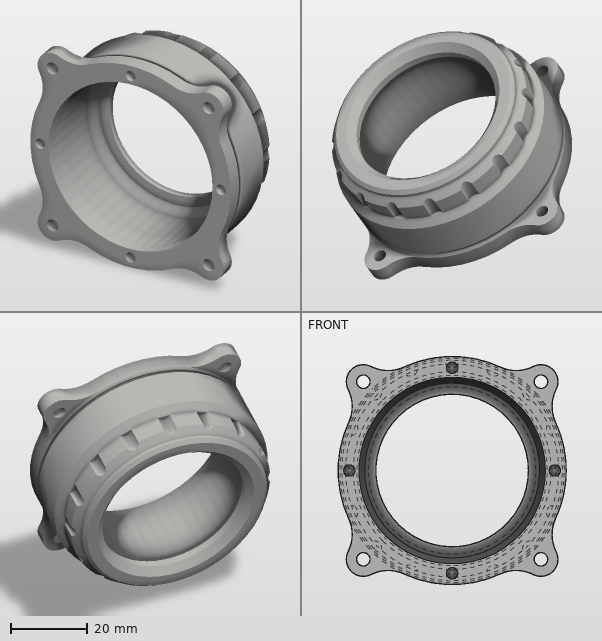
import cadquery as cq
import math

flange_thickness = 4.5
edge_bevel = 0.5
groove_front = flange_thickness + edge_bevel
groove_back = 6.0
barrel_front = groove_back + edge_bevel
barrel_back = 18.0
grip_front = 20.0
grip_back = 25.0
rim_front = 27.0
rim_back = 28.0
total_length = 29.0

barrel_radius = 30.0
groove_radius = 58.0 / 2
grip_radius = 28.0
rim_radius = 52.0 / 2
rim_end_radius = 25.0

bore_radius = 49.0 / 2
taper_end_radius = 23.0
throat_radius = 40.0 / 2
taper_start = 21.5
shoulder = 25.0
flare_start = rim_front
flare_size = total_length - flare_start

lobe_count = 4
lobe_circle_radius = 33.0
lobe_radius = 4.5
blend_radius = 10.0
lobe_hole_radius = 3.5 / 2
pin_hole_radius = 3.0 / 2
pin_circle_radius = 27.0
pin_hole_depth = 6.0

flute_count = 16
flute_radius = 2.0
flute_circle_radius = 29.0


def polar(radius, angle):
    """Point in the flange plane at an angle in radians from +X."""
    return (radius * math.cos(angle), radius * math.sin(angle))


def point_toward(start, end, distance):
    """Point at a distance from start on the line to end."""
    ratio = distance / math.dist(start, end)
    return (start[0] + ratio * (end[0] - start[0]), start[1] + ratio * (end[1] - start[1]))


def extrude_back(sketch, start, end):
    """Extrude an XZ-plane sketch, drawn at Y = 0, between two Y stations."""
    return sketch.extrude(start - end).translate((0, start, 0))


def cylinder_ring(count, ring_radius, first_angle, radius, start, end):
    """Equally spaced cylinders parallel to Y between two Y stations."""
    sketch = cq.Workplane("XZ").polarArray(ring_radius, first_angle, 360, count).circle(radius)
    return extrude_back(sketch, start, end)


def revolve_profile(points):
    """Revolve (radius, Y) points around the Y axis."""
    return cq.Workplane("XY").polyline(points).close().revolve(360, (0, 0, 0), (0, 1, 0))


def blend_arc(center, arc_start, arc_end):
    """Middle and end points of a blend arc that bulges toward the flange material."""
    chord_middle = ((arc_start[0] + arc_end[0]) / 2, (arc_start[1] + arc_end[1]) / 2)
    return point_toward(center, chord_middle, blend_radius), arc_end


def make_flange():
    """Round flange with four lobes, each joined to the disc by tangent blends."""
    blend_distance = barrel_radius + blend_radius
    blend_offset = math.acos(
        (blend_distance**2 + lobe_circle_radius**2 - (lobe_radius + blend_radius) ** 2)
        / (2 * blend_distance * lobe_circle_radius)
    )
    pitch = 2 * math.pi / lobe_count
    sketch = cq.Workplane("XZ").moveTo(*polar(barrel_radius, pitch / 2 - blend_offset))
    for index in range(lobe_count):
        lobe_angle = (index + 0.5) * pitch
        lobe_center = polar(lobe_circle_radius, lobe_angle)
        lobe_tip = polar(lobe_circle_radius + lobe_radius, lobe_angle)
        first_blend = polar(blend_distance, lobe_angle - blend_offset)
        second_blend = polar(blend_distance, lobe_angle + blend_offset)
        disc_end = polar(barrel_radius, lobe_angle - blend_offset)
        lobe_start = point_toward(first_blend, lobe_center, blend_radius)
        lobe_end = point_toward(second_blend, lobe_center, blend_radius)
        disc_start = polar(barrel_radius, lobe_angle + blend_offset)
        next_disc_end = polar(barrel_radius, lobe_angle + pitch - blend_offset)
        sketch = (
            sketch.threePointArc(*blend_arc(first_blend, disc_end, lobe_start))
            .threePointArc(lobe_tip, lobe_end)
            .threePointArc(*blend_arc(second_blend, lobe_end, disc_start))
            .threePointArc(polar(barrel_radius, lobe_angle + pitch / 2), next_disc_end)
        )
    return extrude_back(sketch.close(), 0, flange_thickness)


def make_barrel():
    """Stepped outer body with a bevelled groove behind the flange."""
    bevel_radius = barrel_radius - edge_bevel
    return revolve_profile([
        (0, 0),
        (barrel_radius, 0),
        (barrel_radius, flange_thickness),
        (bevel_radius, groove_front),
        (groove_radius, groove_front),
        (groove_radius, groove_back),
        (bevel_radius, groove_back),
        (barrel_radius, barrel_front),
        (barrel_radius, barrel_back),
        (grip_radius, grip_front),
        (grip_radius, grip_back),
        (rim_radius, rim_front),
        (rim_radius, rim_back),
        (rim_end_radius, total_length),
        (0, total_length),
    ])


def make_bore():
    """Stepped opening through the whole body."""
    return revolve_profile([
        (0, 0),
        (bore_radius, 0),
        (bore_radius, taper_start),
        (taper_end_radius, shoulder),
        (throat_radius, shoulder),
        (throat_radius, flare_start),
        (throat_radius + flare_size, total_length),
        (0, total_length),
    ])


def make_flutes():
    """Round grooves around the grip, open toward the rim."""
    return cylinder_ring(flute_count, flute_circle_radius, 0, flute_radius, grip_front, total_length)


def make_lobe_holes():
    """Through holes at the lobe centres."""
    first_angle = 180 / lobe_count
    return cylinder_ring(
        lobe_count, lobe_circle_radius, first_angle, lobe_hole_radius, 0, flange_thickness
    )


def make_pin_holes():
    """Blind holes in the flange face, midway between the lobes."""
    return cylinder_ring(lobe_count, pin_circle_radius, 0, pin_hole_radius, 0, pin_hole_depth)


body = make_flange().union(make_barrel())
result = body.cut(make_bore()).cut(make_flutes()).cut(make_lobe_holes()).cut(make_pin_holes())